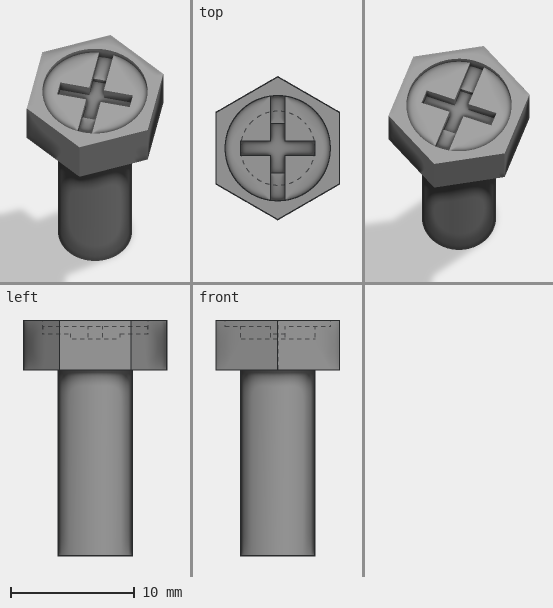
import cadquery as cq
import math

head_sides = 6
head_across_flats = 10.0
head_height = 4.0
head_across_corners = head_across_flats / math.cos(math.pi / head_sides)
head_turn = 90

shank_diameter = 6.0
shank_length = 15.0

recess_diameter = 8.5
recess_depth = 0.5

slot_width = 1.2
slot_depth = 0.6
cross_length_x = 6.0
cross_length_y = 4.0
cross_depth = 1.0

recess_floor = head_height - recess_depth


def make_head():
    """Hexagonal prism with two corners on the Y axis."""
    hexagon = cq.Workplane("XY").polygon(head_sides, head_across_corners)
    return hexagon.extrude(head_height).rotate((0, 0, 0), (0, 0, 1), head_turn)


def make_shank():
    """Cylinder running down from the underside of the head."""
    return cq.Workplane("XY").circle(shank_diameter / 2).extrude(-shank_length)


def make_recess():
    """Cutter for the shallow round pocket in the head top."""
    floor = cq.Workplane("XY").workplane(offset=recess_floor)
    return floor.circle(recess_diameter / 2).extrude(recess_depth)


def make_groove(length_x, length_y, depth):
    """Rectangular cutter from the head top to the given depth below the recess floor."""
    floor = cq.Workplane("XY").workplane(offset=recess_floor - depth)
    return floor.rect(length_x, length_y).extrude(depth + recess_depth)


def make_driver_recess():
    """Cutter for a deep cross and a shallower slot along Y that ends at the round recess wall."""
    cross_bar_x = make_groove(cross_length_x, slot_width, cross_depth)
    cross_bar_y = make_groove(slot_width, cross_length_y, cross_depth)
    long_slot = make_groove(slot_width, recess_diameter, slot_depth)
    recess_column = cq.Workplane("XY").circle(recess_diameter / 2).extrude(head_height)
    return cross_bar_x.union(cross_bar_y).union(long_slot).intersect(recess_column)


bolt_blank = make_head().union(make_shank())
result = bolt_blank.cut(make_recess()).cut(make_driver_recess())